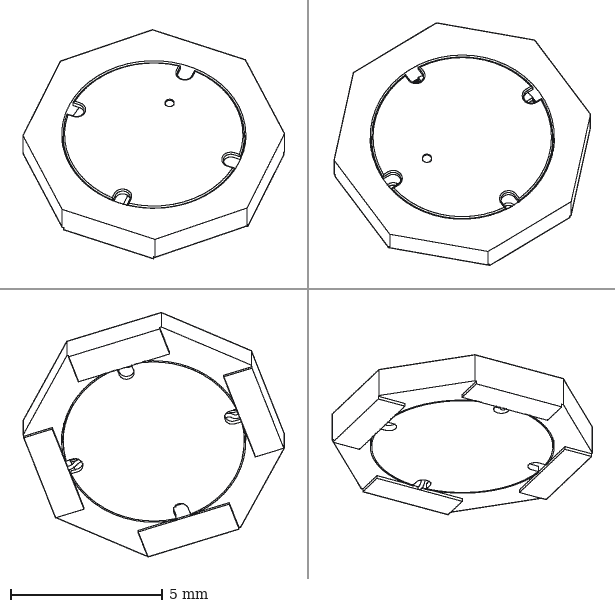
import cadquery as cq
import math

WIDTH = 8.0
HEIGHT = 1.1

FOOT_HEIGHT = 0.1
FOOT_LENGTH = 1.0
FOOT_WIDTH = 3.2
BORE_DIAMETER = 6.1

FLANGE_DIAMETER = 6.0
FLANGE_THICKNESS = 0.2
POST_DIAMETER = 3.2
EDGE_CHAMFER = 0.05
NOTCH_WIDTH = 0.5
NOTCH_ARC_CENTER = 2.75
DOT_DIAMETER = 0.3
DOT_DEPTH = 0.06
DOT_Y = 1.41

WIRE_DIAMETER = 0.12
BEND_MIDDLE_RADIUS = 2.75

OCTAGON_SIDES = 8
QUARTER_TURNS = [0, 90, 180, 270]
LEAD_ANGLES = [90, 270]
AXIS_START = (0, 0, 0)
AXIS_END = (0, 0, 1)


def make_foot(angle):
    """Flat rectangular foot under one side of the octagon."""
    foot = (
        cq.Workplane("XY")
        .center(WIDTH / 2 - FOOT_LENGTH / 2, 0)
        .rect(FOOT_LENGTH, FOOT_WIDTH)
        .extrude(FOOT_HEIGHT)
    )
    return foot.rotate(AXIS_START, AXIS_END, angle)


def make_lead(angle):
    """Round wire that lies on the lower flange and bends down in an S to a foot."""
    low_z = WIRE_DIAMETER / 2
    high_z = FOOT_HEIGHT + FLANGE_THICKNESS + WIRE_DIAMETER / 2
    middle_z = (low_z + high_z) / 2
    foot_end = WIDTH / 2 - FOOT_LENGTH
    bend_run = foot_end - BEND_MIDDLE_RADIUS
    path = (
        cq.Workplane("XZ")
        .moveTo(BORE_DIAMETER / 2, low_z)
        .lineTo(foot_end, low_z)
        .tangentArcPoint((BEND_MIDDLE_RADIUS, middle_z), relative=False)
        .tangentArcPoint((BEND_MIDDLE_RADIUS - bend_run, high_z), relative=False)
        .lineTo(0, high_z)
    )
    wire = (
        cq.Workplane("YZ", origin=(BORE_DIAMETER / 2, 0, 0))
        .center(0, low_z)
        .circle(WIRE_DIAMETER / 2)
        .sweep(path)
    )
    post_space = cq.Workplane("XY").circle(POST_DIAMETER / 2).extrude(HEIGHT)
    return wire.cut(post_space).rotate(AXIS_START, AXIS_END, angle)


def make_shield():
    """Octagonal ring with its feet, and the two leads fixed to the feet on the Y axis."""
    corner_diameter = WIDTH / math.cos(math.pi / OCTAGON_SIDES)
    shield = (
        cq.Workplane("XY", origin=(0, 0, FOOT_HEIGHT))
        .transformed(rotate=(0, 0, 180 / OCTAGON_SIDES))
        .polygon(OCTAGON_SIDES, corner_diameter)
        .circle(BORE_DIAMETER / 2)
        .extrude(HEIGHT - FOOT_HEIGHT)
    )
    for angle in QUARTER_TURNS:
        shield = shield.union(make_foot(angle))
    for angle in LEAD_ANGLES:
        shield = shield.union(make_lead(angle))
    return shield


def make_notch(angle):
    """Round-ended cutter for one notch, open at the flange rim."""
    notch_bottom = NOTCH_ARC_CENTER - NOTCH_WIDTH / 2
    notch = (
        cq.Workplane("XY")
        .moveTo(BORE_DIAMETER / 2, -NOTCH_WIDTH / 2)
        .lineTo(NOTCH_ARC_CENTER, -NOTCH_WIDTH / 2)
        .threePointArc((notch_bottom, 0), (NOTCH_ARC_CENTER, NOTCH_WIDTH / 2))
        .lineTo(BORE_DIAMETER / 2, NOTCH_WIDTH / 2)
        .close()
        .extrude(FLANGE_THICKNESS)
    )
    return notch.rotate(AXIS_START, AXIS_END, angle)


def make_flange():
    """Disc with four notches, standing on Z = 0."""
    flange = cq.Workplane("XY").circle(FLANGE_DIAMETER / 2).extrude(FLANGE_THICKNESS)
    for angle in QUARTER_TURNS:
        flange = flange.cut(make_notch(angle))
    return flange


def make_drum():
    """Post between two flanges; the upper one has a chamfered top edge and a round dot."""
    lower_flange = make_flange().translate((0, 0, FOOT_HEIGHT))
    upper_flange = make_flange().faces(">Z").chamfer(EDGE_CHAMFER)
    upper_flange = upper_flange.translate((0, 0, HEIGHT - FLANGE_THICKNESS))
    post = (
        cq.Workplane("XY", origin=(0, 0, FOOT_HEIGHT))
        .circle(POST_DIAMETER / 2)
        .extrude(HEIGHT - FOOT_HEIGHT - FLANGE_THICKNESS)
    )
    dot = (
        cq.Workplane("XY", origin=(0, DOT_Y, HEIGHT - DOT_DEPTH))
        .circle(DOT_DIAMETER / 2)
        .extrude(DOT_DEPTH)
    )
    return lower_flange.union(post).union(upper_flange).cut(dot)


shield = make_shield()
drum = make_drum()

result = cq.Compound.makeCompound([shield.val(), drum.val()])